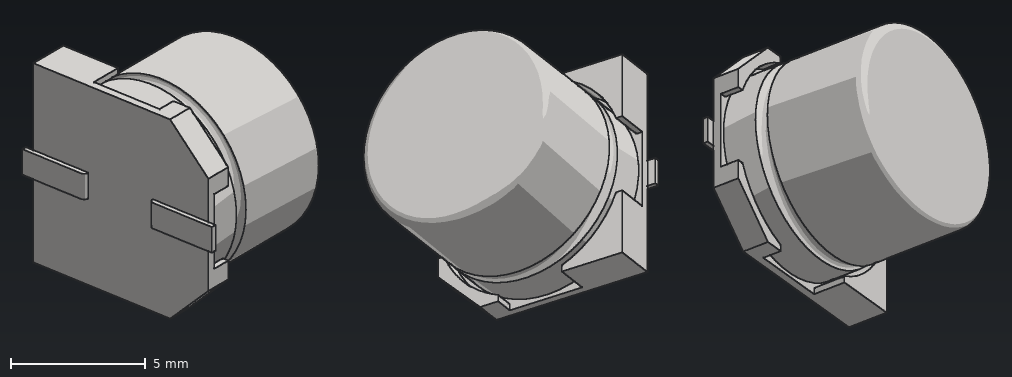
import cadquery as cq

OVERALL_LENGTH = 9.2
OVERALL_DEPTH = 7.0

BASE_SIDE = 8.5
CORNER_CHAMFER = 1.86
FLOOR_THICKNESS = 0.35
TALL_HEIGHT = 1.75
LOW_HEIGHT = 1.15
SLOT_WIDTH = 3.18
POCKET_RADIUS = 4.29

CAN_RADIUS = 4.085
CAN_END_FILLET = 0.33
GROOVE_RADIUS = 0.28
GROOVE_CENTER_Y = 2.1

TERMINAL_LENGTH = 3.04
TERMINAL_WIDTH = 1.095
TERMINAL_THICKNESS = 0.21
TERMINAL_FILLET = 0.19

CAN_END_Y = OVERALL_DEPTH - TERMINAL_THICKNESS


def block(x_min, x_max, y_min, y_max, z_size):
    """Box between the given X and Y limits, centred on Z = 0."""
    return (
        cq.Workplane("XY")
        .box(x_max - x_min, y_max - y_min, z_size, centered=(False, False, True))
        .translate((x_min, y_min, 0))
    )


def make_base():
    """Square base with two cut corners and four corner walls around the can."""
    half_side = BASE_SIDE / 2
    half_slot = SLOT_WIDTH / 2
    base = block(-half_side, half_side, 0, TALL_HEIGHT, BASE_SIDE)
    base = base.edges("|Y and >X").chamfer(CORNER_CHAMFER)

    base = base.cut(block(half_slot, half_side, LOW_HEIGHT, TALL_HEIGHT, BASE_SIDE))

    base = base.cut(block(-half_slot, half_slot, FLOOR_THICKNESS, TALL_HEIGHT, BASE_SIDE))
    base = base.cut(block(-half_side, half_side, FLOOR_THICKNESS, TALL_HEIGHT, SLOT_WIDTH))

    pocket = (
        cq.Workplane("XZ", origin=(0, FLOOR_THICKNESS, 0))
        .circle(POCKET_RADIUS)
        .extrude(FLOOR_THICKNESS - TALL_HEIGHT)
    )
    return base.cut(pocket)


def make_can():
    """Round can seated on the base floor, with a rounded far end and a crimp groove."""
    can = (
        cq.Workplane("XZ", origin=(0, FLOOR_THICKNESS, 0))
        .circle(CAN_RADIUS)
        .extrude(FLOOR_THICKNESS - CAN_END_Y)
        .faces(">Y")
        .edges()
        .fillet(CAN_END_FILLET)
    )
    groove = (
        cq.Workplane("XY")
        .center(CAN_RADIUS, GROOVE_CENTER_Y)
        .circle(GROOVE_RADIUS)
        .revolve(360, (-CAN_RADIUS, 0), (-CAN_RADIUS, 1))
    )
    return can.cut(groove)


def make_terminal(side):
    """Flat terminal under the base, rounded at its inner end; side is -1 or +1 along X."""
    outer_x = -OVERALL_LENGTH / 2
    terminal = (
        block(outer_x, outer_x + TERMINAL_LENGTH, -TERMINAL_THICKNESS, 0, TERMINAL_WIDTH)
        .edges(">X and <Y")
        .fillet(TERMINAL_FILLET)
    )
    if side > 0:
        terminal = terminal.mirror("YZ")
    return terminal


base = make_base()
can = make_can()
terminals = [make_terminal(side) for side in (-1, 1)]

result = cq.Compound.makeCompound(
    [base.val(), can.val(), *[terminal.val() for terminal in terminals]]
)